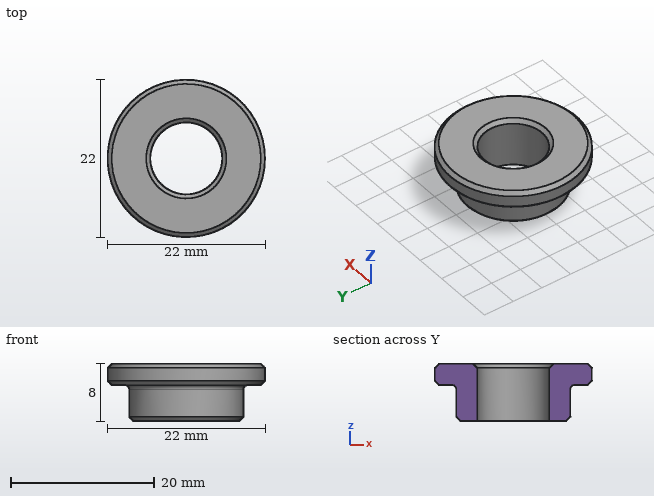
import cadquery as cq

flange_diameter = 22.0
body_diameter = 16.0
bore_diameter = 10.0
total_height = 8.0
flange_thickness = 3.0
chamfer_size = 0.6
neck_fillet_radius = 0.6

body_height = total_height - flange_thickness

body = cq.Workplane("XY").circle(body_diameter / 2).extrude(body_height)
body = body.faces("<Z").edges().chamfer(chamfer_size)

flange = cq.Workplane("XY").workplane(offset=body_height)
flange = flange.circle(flange_diameter / 2).extrude(flange_thickness)
flange = flange.edges().chamfer(chamfer_size)

bushing = body.union(flange)

inner_edge = cq.selectors.RadiusNthSelector(0)
flange_underside = bushing.faces(cq.selectors.NearestToPointSelector((0, 0, body_height)))
bushing = flange_underside.edges(inner_edge).fillet(neck_fillet_radius)

bore = cq.Workplane("XY").circle(bore_diameter / 2).extrude(total_height)
bushing = bushing.cut(bore)
result = bushing.faces(">Z").edges(inner_edge).chamfer(chamfer_size)